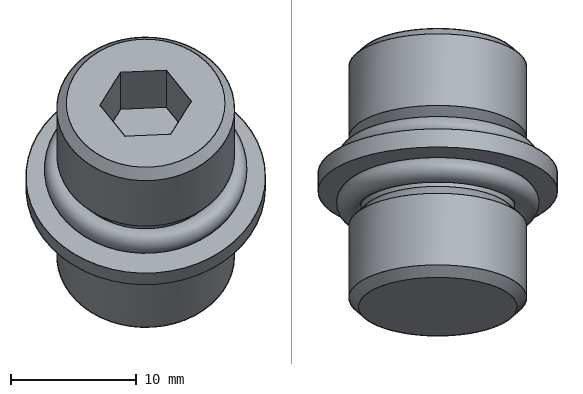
import cadquery as cq

length = 21.35
thread_radius = 7.08
end_chamfer = 0.77
flange_radius = 9.54
flange_thickness = 1.55
ring_section = 1.96
groove_length = 2.0
hex_across_flats = 6.32
hex_depth = 5.0
shoulder_height = 0.98

half_length = length / 2
half_flange = flange_thickness / 2
ring_section_radius = ring_section / 2
neck_radius = thread_radius - shoulder_height
neck_end = half_flange + groove_length
shoulder_end = neck_end + shoulder_height
ring_center_radius = neck_radius + ring_section_radius
ring_center_height = half_flange + ring_section_radius
hex_across_corners = hex_across_flats / (3 ** 0.5 / 2)


def make_fitting():
    """Double-ended fitting with a central flange, two seal necks and a hexagonal key socket in the top."""
    upper_outline = [
        (flange_radius, half_flange),
        (neck_radius, half_flange),
        (neck_radius, neck_end),
        (thread_radius, shoulder_end),
        (thread_radius, half_length - end_chamfer),
        (thread_radius - end_chamfer, half_length),
        (0, half_length),
    ]
    lower_outline = [(radius, -height) for radius, height in reversed(upper_outline)]
    turned = (
        cq.Workplane("XZ")
        .polyline(lower_outline + upper_outline)
        .close()
        .revolve(360, (0, 0, 0), (0, 1, 0))
    )
    hex_socket = (
        cq.Workplane("XY", origin=(0, 0, half_length))
        .polygon(6, hex_across_corners)
        .extrude(-hex_depth)
    )
    return turned.cut(hex_socket)


def make_seal_ring(center_height):
    """O-ring seated on a neck, against the flange."""
    return (
        cq.Workplane("XZ")
        .center(ring_center_radius, center_height)
        .circle(ring_section_radius)
        .revolve(360, (-ring_center_radius, 0, 0), (-ring_center_radius, 1, 0))
    )


fitting = make_fitting()
seal_rings = [make_seal_ring(side * ring_center_height) for side in (1, -1)]

result = cq.Compound.makeCompound([fitting.val(), *[ring.val() for ring in seal_rings]])